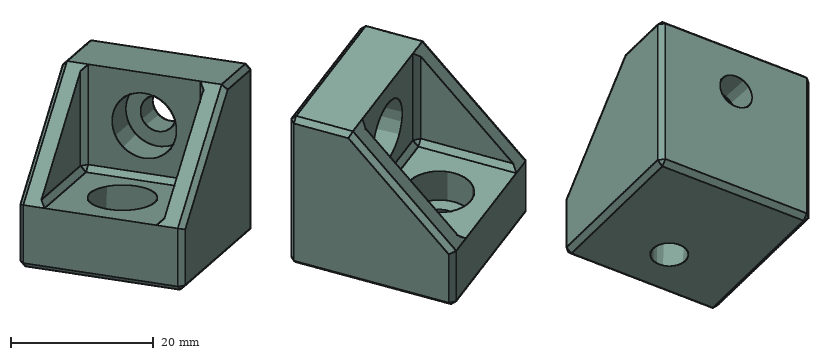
import cadquery as cq

width = 25.0
side = 25.4
wall = 9.5
edge_chamfer = 0.8

recess_width = 18.65
recess_chamfer = 0.85

hole_diameter = 5.3
bore_diameter = 9.75
bore_depth = 5.0
hole_position = (side + wall) / 2

wall_front = side - wall


def make_body():
    """Block with a sloping front, chamfered except across the slope's two ends."""
    profile = [(0, 0), (side, 0), (side, side), (wall_front, side), (0, wall)]
    body = cq.Workplane("YZ").polyline(profile).close().extrude(width / 2, both=True)
    slope_ends = cq.selectors.BoxSelector(
        (-wall, -wall / 2, wall / 2),
        (wall, side - wall / 2, side + wall / 2),
    )
    return body.edges(-slope_ends).chamfer(edge_chamfer)


def make_recess():
    """Cutter for the open recess, with its inner corners bevelled."""
    cutter = cq.Workplane("XY").box(
        recess_width, 2 * wall_front, 2 * wall_front, centered=(True, True, False)
    )
    cutter = cutter.translate((0, 0, wall))
    inner_edges = cutter.faces("<Z").edges("not <Y").add(cutter.edges("|Z and >Y"))
    return cutter.newObject(inner_edges.vals()).chamfer(recess_chamfer)


def make_hole():
    """Vertical cutter for the base wall: through hole and counterbore."""
    hole = cq.Workplane("XY").circle(hole_diameter / 2).extrude(wall)
    bore = (
        cq.Workplane("XY")
        .workplane(offset=wall - bore_depth)
        .circle(bore_diameter / 2)
        .extrude(bore_depth)
    )
    return hole.union(bore)


base_hole = make_hole().translate((0, side - hole_position, 0))
back_hole = (
    make_hole()
    .rotate((0, 0, 0), (1, 0, 0), 90)
    .translate((0, side, hole_position))
)

result = make_body().cut(make_recess()).cut(base_hole).cut(back_hole)